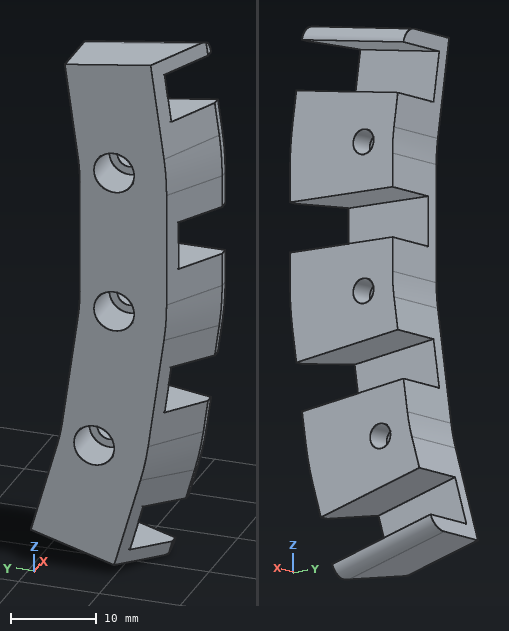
import cadquery as cq
import math

height = 8.5
base_width = 10.75
slope_height = 7.4
slope_angle = 30.0
overhang = slope_height * math.tan(math.radians(slope_angle))

bend_angle = 8.0
pitch = 18.65
channel_width = 6.0
end_wall = 1.85
floor_thickness = 1.6
bend_radius = 32.9
end_length = pitch / 2 + channel_width / 2 + end_wall

hole_diameter = 3.0
counterbore_diameter = 5.0
counterbore_depth = 5.3
hole_inset = 6.5

overrun = 6.65

tilts = [2 * bend_angle, bend_angle, 0.0, -bend_angle]
lengths = [end_length, pitch, pitch, end_length]


def along(tilt):
    """Upward direction of a stretch."""
    a = math.radians(tilt)
    return cq.Vector(0, -math.sin(a), math.cos(a))


def inward(tilt):
    """Direction across a stretch, from its front towards its back."""
    a = math.radians(tilt)
    return cq.Vector(0, math.cos(a), math.sin(a))


def yz(point):
    return (point.y, point.z)


lower_bend = cq.Vector(0, 0, -pitch / 2) - along(tilts[1]) * pitch
corners = [lower_bend - along(tilts[0]) * end_length]
for tilt, length in zip(tilts, lengths):
    corners.append(corners[-1] + along(tilt) * length)
bends = corners[1:-1]
bisectors = [inward((a + b) / 2) for a, b in zip(tilts, tilts[1:])]
half_bend_cos = math.cos(math.radians(bend_angle / 2))


def make_path():
    """Front edge with an arc blended into every bend."""
    tangent_length = bend_radius * math.tan(math.radians(bend_angle / 2))
    sagitta = bend_radius * (1 / half_bend_cos - 1)
    path = cq.Workplane("YZ").moveTo(*yz(corners[0]))
    for i, bend in enumerate(bends):
        arc_start = bend - along(tilts[i]) * tangent_length
        arc_middle = bend + bisectors[i] * sagitta
        arc_end = bend + along(tilts[i + 1]) * tangent_length
        path = path.lineTo(*yz(arc_start)).threePointArc(yz(arc_middle), yz(arc_end))
    return path.lineTo(*yz(corners[-1]))


def make_bar():
    """Sweep the section up the bent front edge."""
    start_plane = cq.Plane(origin=corners[0].toTuple(), xDir=(1, 0, 0), normal=along(tilts[0]).toTuple())
    section = cq.Workplane(start_plane).polyline([
        (0, 0),
        (slope_height, -overhang),
        (height, -overhang),
        (height, base_width),
        (0, base_width),
    ]).close()
    return section.sweep(make_path())


def round_ends(bar):
    """Round the upper (+X) edge of both end faces by the end wall thickness."""
    for corner, tilt in ((corners[0], tilts[0]), (corners[-1], tilts[-1])):
        edge_middle = corner + inward(tilt) * ((base_width - overhang) / 2) + cq.Vector(height, 0, 0)
        bar = bar.edges(cq.selectors.NearestToPointSelector(edge_middle.toTuple())).fillet(end_wall)
    return bar


def make_channel(start, tilt, distance):
    """Channel across the bar, open at the front, the back and the +X side."""
    centre = start + along(tilt) * distance + inward(tilt) * (base_width / 2)
    plane = cq.Plane(origin=centre.toTuple(), xDir=inward(tilt).toTuple(), normal=(1, 0, 0))
    channel_length = base_width + 2 * (overhang + overrun)
    return (
        cq.Workplane(plane)
        .workplane(offset=floor_thickness)
        .rect(channel_length, channel_width)
        .extrude(height)
    )


result = round_ends(make_bar())

channel_distances = [end_length - pitch / 2] + [pitch / 2] * 3
for start, tilt, distance in zip(corners, tilts, channel_distances):
    result = result.cut(make_channel(start, tilt, distance))

hole_centres = [yz(p + b * (hole_inset / half_bend_cos)) for p, b in zip(bends, bisectors)]
holes = cq.Workplane("YZ").pushPoints(hole_centres)
result = result.cut(holes.circle(hole_diameter / 2).extrude(height))
result = result.cut(holes.circle(counterbore_diameter / 2).extrude(counterbore_depth))